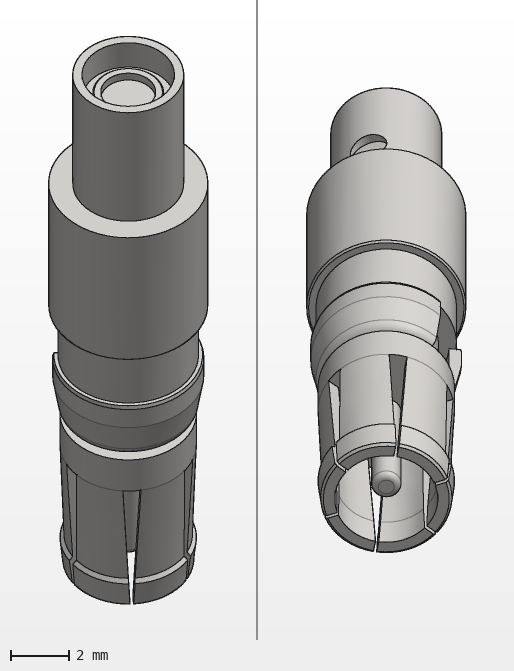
import cadquery as cq
import math

total_length = 23.08
tube_radius = 1.92
tube_bore_radius = 1.6
bore_floor_z = 21.93
cup_radius = 1.22
cup_bore_radius = 0.95
cup_height = 0.32
cup_chamfer = 0.05
sight_hole_radius = 0.67
sight_hole_z = 19.57

sleeve_radius = 2.75
sleeve_top_z = 17.93
sleeve_bottom_z = 12.1
sleeve_chamfer = 0.07
shank_radius = 2.42
shank_bottom_z = 9.79
neck_radius = 1.8

collar_radius = 2.35
collar_top_z = 7.02
finger_top_z = 5.55
finger_waist_radius = 2.22
finger_waist_z = 1.27
finger_wall = 0.45
lip_radius = 2.35
lip_top_z = 1.13
lip_end_radius = 2.26
lip_chamfer = 0.1
slot_count = 6
slot_top_width = 0.62
slot_bottom_width = 0.12

pin_radius = 0.5
pin_tip_z = 0.76
pin_tip_fillet = 0.23

clip_radius = 2.6
clip_bore_radius = 2.17
clip_bottom_z = 7.25
clip_cone_top_z = 8.8
clip_cone_bottom_z = 7.62
clip_cone_bottom_radius = 2.42
clip_chamfer_width = 0.05
clip_chamfer_height = 0.15
clip_lip_radius = 2.05
clip_lip_end_radius = 2.15
clip_lip_height = 0.15
clip_gap_half_angle = 24.5


def cylinder(radius, bottom_z, top_z):
    """A solid cylinder on the Z axis."""
    return cq.Workplane("XY").workplane(offset=bottom_z).circle(radius).extrude(top_z - bottom_z)


def revolved(outline):
    """Turn a closed outline in the XZ plane around the Z axis."""
    return outline.close().revolve(360, (0, 0), (0, 1))


def make_tube():
    tube = cylinder(tube_radius, sleeve_top_z, total_length)
    tube = tube.cut(cylinder(tube_bore_radius, bore_floor_z, total_length))

    cup = cylinder(cup_radius, bore_floor_z, bore_floor_z + cup_height).faces(">Z").chamfer(cup_chamfer)
    cup = cup.cut(cylinder(cup_bore_radius, bore_floor_z, bore_floor_z + cup_height))

    sight_hole = (
        cq.Workplane("XZ", origin=(0, tube_radius, sight_hole_z))
        .circle(sight_hole_radius)
        .extrude(tube_radius - tube_bore_radius)
    )
    return tube.union(cup).cut(sight_hole)


def make_shaft():
    """Sleeve, shank, neck and collar, from top to bottom."""
    sleeve = cylinder(sleeve_radius, sleeve_bottom_z, sleeve_top_z).faces("<Z").chamfer(sleeve_chamfer)
    shank = cylinder(shank_radius, shank_bottom_z, sleeve_bottom_z)
    neck = cylinder(neck_radius, collar_top_z, shank_bottom_z)
    collar = cylinder(collar_radius, finger_top_z, collar_top_z)
    return sleeve.union(shank).union(neck).union(collar)


def make_fingers():
    """Ring of spring fingers that lean inward and end in a raised lip."""
    fingers = revolved(
        cq.Workplane("XZ")
        .moveTo(collar_radius, finger_top_z)
        .lineTo(finger_waist_radius, finger_waist_z)
        .lineTo(lip_radius, lip_top_z)
        .lineTo(lip_end_radius, lip_chamfer)
        .lineTo(lip_end_radius - lip_chamfer, 0)
        .lineTo(finger_waist_radius - finger_wall, 0)
        .lineTo(finger_waist_radius - finger_wall, finger_waist_z)
        .lineTo(collar_radius - finger_wall, finger_top_z)
    )

    slot = (
        cq.Workplane("YZ")
        .moveTo(-slot_bottom_width / 2, 0)
        .lineTo(slot_bottom_width / 2, 0)
        .lineTo(slot_top_width / 2, finger_top_z)
        .lineTo(-slot_top_width / 2, finger_top_z)
        .close()
        .extrude(2 * collar_radius)
    )
    for index in range(slot_count):
        fingers = fingers.cut(slot.rotate((0, 0, 0), (0, 0, 1), index * 360 / slot_count))
    return fingers


def make_pin():
    return cylinder(pin_radius, pin_tip_z, finger_top_z).faces("<Z").edges().fillet(pin_tip_fillet)


def make_contact():
    return make_tube().union(make_shaft()).union(make_fingers()).union(make_pin())


def make_clip():
    """Split ring around the neck, open toward -X."""
    clip = revolved(
        cq.Workplane("XZ")
        .moveTo(clip_bore_radius, shank_bottom_z)
        .lineTo(clip_radius - clip_chamfer_width, shank_bottom_z)
        .lineTo(clip_radius, shank_bottom_z - clip_chamfer_height)
        .lineTo(clip_radius, clip_cone_top_z)
        .lineTo(clip_cone_bottom_radius, clip_cone_bottom_z)
        .tangentArcPoint((clip_lip_end_radius, clip_bottom_z), relative=False)
        .lineTo(clip_lip_radius, clip_bottom_z)
        .lineTo(clip_lip_radius, clip_bottom_z + clip_lip_height)
        .lineTo(clip_bore_radius, clip_bottom_z + 2 * clip_lip_height)
    )

    wedge_length = 2 * clip_radius
    wedge_half_width = wedge_length * math.tan(math.radians(clip_gap_half_angle))
    gap = (
        cq.Workplane("XY")
        .workplane(offset=clip_bottom_z)
        .moveTo(0, 0)
        .lineTo(-wedge_length, wedge_half_width)
        .lineTo(-wedge_length, -wedge_half_width)
        .close()
        .extrude(shank_bottom_z - clip_bottom_z)
    )
    return clip.cut(gap)


contact = make_contact()
clip = make_clip()
result = cq.Compound.makeCompound([contact.val(), clip.val()])